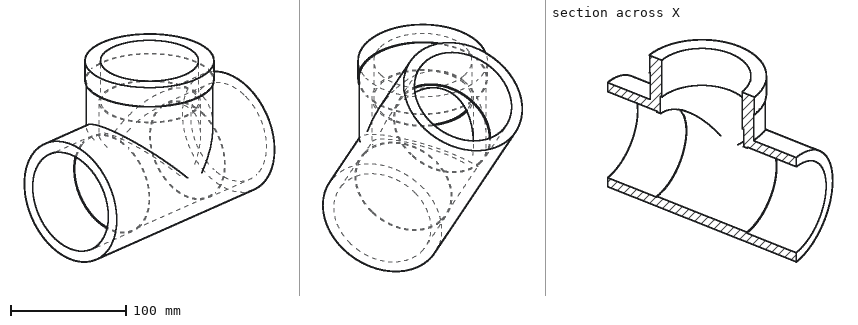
import cadquery as cq

run_length = 200.0
run_diameter = 110.0
socket_diameter = 90.0
bore_diameter = 88.0
socket_depth = 52.2

branch_top = 101.0
collar_diameter = 112.0
collar_height = 18.5
mouth_diameter = 85.0
mouth_depth = 38.8


def cylinder_along_y(diameter, length):
    """Cylinder on the Y axis, centred on the origin."""
    return cq.Workplane("XZ").circle(diameter / 2).extrude(length / 2, both=True)


def cylinder_along_z(diameter, bottom, top):
    """Cylinder on the Z axis between two heights."""
    return cq.Workplane("XY").workplane(offset=bottom).circle(diameter / 2).extrude(top - bottom)


run = cylinder_along_y(run_diameter, run_length)
branch = cylinder_along_z(run_diameter, 0, branch_top)
collar = cylinder_along_z(collar_diameter, branch_top - collar_height, branch_top)
body = run.union(branch).union(collar)

body = body.cut(cylinder_along_y(bore_diameter, run_length))
for side in (-1, 1):
    socket_centre = side * (run_length - socket_depth) / 2
    socket = cylinder_along_y(socket_diameter, socket_depth).translate((0, socket_centre, 0))
    body = body.cut(socket)

mouth_bottom = branch_top - mouth_depth
body = body.cut(cylinder_along_z(bore_diameter, 0, mouth_bottom))
result = body.cut(cylinder_along_z(mouth_diameter, mouth_bottom, branch_top))